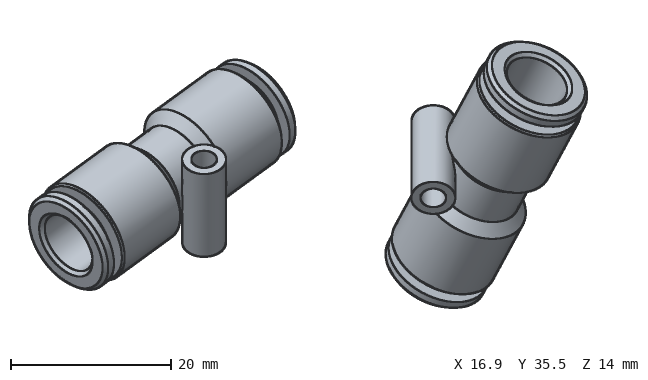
import cadquery as cq

length = 35.5
half_length = length / 2
body_radius = 7.0
body_end_chamfer = 0.25

collar_radius = 6.75
collar_thickness = 1.55
collar_chamfer = 0.5
neck_radius = 4.65
neck_length = 1.45
neck_flare = 0.2

waist_radius = 5.5
waist_length = 5.5
waist_half_length = waist_length / 2
cone_length = body_radius - waist_radius

socket_radius = 4.05
socket_depth = 14.9
socket_chamfer = 0.5
passage_radius = 3.25

overall_width = 16.85
sleeve_radius = waist_length / 2
sleeve_hole_radius = 1.6
sleeve_offset = overall_width - body_radius - sleeve_radius
sleeve_height = 2 * body_radius


def revolve_symmetric(half_profile):
    """Revolve a (radius, y) profile about Y, completed by its reflection at negative y."""
    reflected = [(radius, -y) for radius, y in reversed(half_profile)]
    profile = reflected + half_profile
    return cq.Workplane("XY").polyline(profile).close().revolve(360, (0, 0), (0, 1))


def make_body():
    """Outer body: waist, cones, socket shells, necks and collars."""
    collar_inner = half_length - collar_thickness
    body_end = collar_inner - neck_length
    half_profile = [
        (waist_radius, waist_half_length),
        (body_radius, waist_half_length + cone_length),
        (body_radius, body_end - body_end_chamfer),
        (body_radius - body_end_chamfer, body_end),
        (neck_radius, body_end),
        (neck_radius, collar_inner - neck_flare),
        (neck_radius + neck_flare, collar_inner),
        (collar_radius, collar_inner),
        (collar_radius, half_length - collar_chamfer),
        (collar_radius - collar_chamfer, half_length),
        (0, half_length),
    ]
    return revolve_symmetric(half_profile)


def make_bore():
    """Stepped bore: passage in the middle, a chamfered socket at each end."""
    half_profile = [
        (passage_radius, half_length - socket_depth),
        (socket_radius, half_length - socket_depth),
        (socket_radius, half_length - socket_chamfer),
        (socket_radius + socket_chamfer, half_length),
        (0, half_length),
    ]
    return revolve_symmetric(half_profile)


def make_sleeve_cylinder(radius):
    """Full-height vertical cylinder on the sleeve axis."""
    base = cq.Workplane("XY", origin=(sleeve_offset, 0, -sleeve_height / 2))
    return base.circle(radius).extrude(sleeve_height)


result = (
    make_body()
    .union(make_sleeve_cylinder(sleeve_radius))
    .cut(make_bore())
    .cut(make_sleeve_cylinder(sleeve_hole_radius))
)